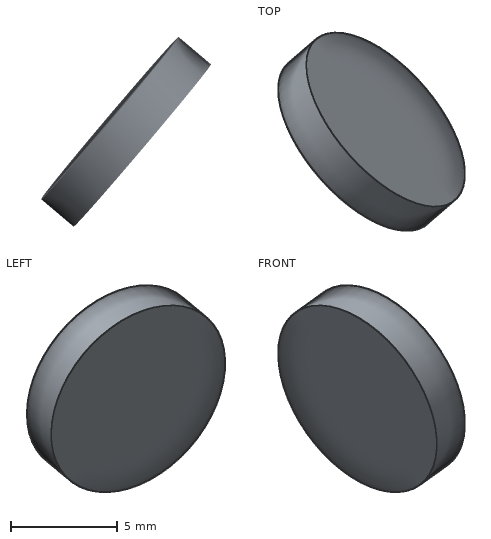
import cadquery as cq
import math

DISC_DIAMETER = 10.0
DISC_THICKNESS = 2.0

AXIS_AZIMUTH = 40.8
AXIS_ELEVATION = 28.5


def axis_direction(azimuth, elevation):
    """Unit vector pointing along the given azimuth and elevation."""
    azimuth = math.radians(azimuth)
    elevation = math.radians(elevation)
    return cq.Vector(
        math.cos(elevation) * math.cos(azimuth),
        math.cos(elevation) * math.sin(azimuth),
        math.sin(elevation),
    )


def make_disc():
    """Plain round disc, centred on the origin and tilted along its axis."""
    axis = axis_direction(AXIS_AZIMUTH, AXIS_ELEVATION)
    lower_face = cq.Plane(origin=axis * (-DISC_THICKNESS / 2), normal=axis)
    return cq.Workplane(lower_face).circle(DISC_DIAMETER / 2).extrude(DISC_THICKNESS)


disc = make_disc()

result = cq.Compound.makeCompound([disc.val()])